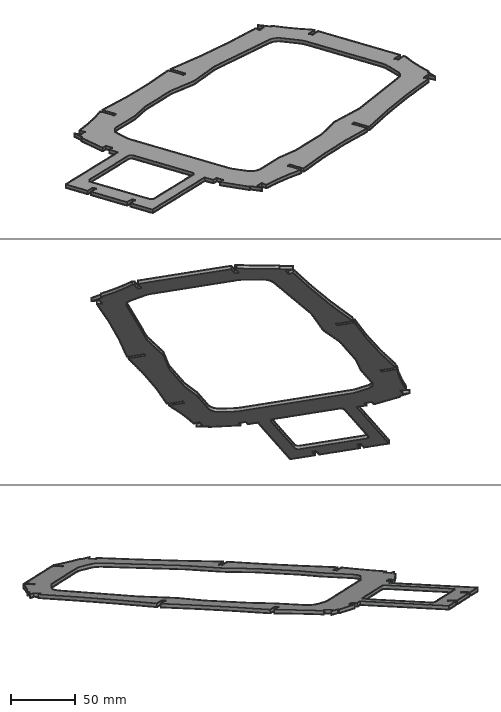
import cadquery as cq

thickness = 3.0
length = 340.0
half_length = length / 2
half_width = 94.0
slot_width = 3.0

top_half_width = 43.0
top_slope_middle = (58.0, 163.0)
top_slope_end = (73.3, 157.8)
top_step_y = 156.3
top_tip = (82.9, 152.9)
top_notch_x = 76.6
top_notch_upper_y = 152.0
top_notch_lower_y = 146.1
shoulder = (80.8, 147.0)

waist_crest = 0.15
upper_flank_middle = (84.6, 102.0)
waist_upper = (93.1, 47.1)
waist_middle = (91.6, 2.0)
waist_lower = (half_width + waist_crest, -44.0)
lower_flank_middle = (89.8, -63.0)
lower_flank_end = (87.3, -83.3)

bottom_notch_x = 82.4
bottom_notch_upper_y = -82.6
bottom_notch_lower_y = -88.8
bottom_tip = (87.6, -89.6)
bottom_tip_root = (78.6, -92.0)
bottom_step_y = -93.3
frame_bottom_y = -99.0
bottom_slope_end = (55.0, frame_bottom_y)

tab_half_width = 40.6
window_half_width = 30.2
window_top_y = -97.1
window_bottom_y = -155.2
window_fillet = 3.0

opening_top_y = 149.3
opening_bottom_y = -74.2
opening_upper_corner = (59.7, 141.5)
opening_lower_corner = (67.3, -68.6)
opening_corner_fillet = 9.5
opening_blend_fillet = 18.0
opening_top_half_width = 38.0
opening_bottom_half_width = 48.0
opening_neck = (67.6, 72.0)
opening_bulge = (65.5, 41.0)
opening_wide_top = (70.2, 17.0)
opening_wide_bottom = (70.2, -18.0)
opening_lower_neck = (67.1, -37.0)

selection_reach = 0.1

top_slot_x = 39.9
top_slot_depth = 8.0
waist_upper_slot_floor_x = 78.9
waist_lower_slot_floor_x = 81.2
shelf_slot_x = 51.7
shelf_slot_width = 6.0
shelf_slot_depth = 4.4
tab_slot_x = 18.4
tab_slot_depth = 6.9


def mirrored(half):
    """Join a half body lying on the +X side with its mirror image."""
    return half.union(half.mirror("YZ"))


def outer_plate():
    half = (
        cq.Workplane("XY")
        .moveTo(0, half_length)
        .lineTo(top_half_width, half_length)
        .threePointArc(top_slope_middle, top_slope_end)
        .lineTo(top_slope_end[0], top_step_y)
        .lineTo(*top_tip)
        .lineTo(top_notch_x, top_notch_upper_y)
        .lineTo(top_notch_x, top_notch_lower_y)
        .lineTo(*shoulder)
        .threePointArc(upper_flank_middle, waist_upper)
        .threePointArc(waist_middle, waist_lower)
        .threePointArc(lower_flank_middle, lower_flank_end)
        .lineTo(bottom_notch_x, bottom_notch_upper_y)
        .lineTo(bottom_notch_x, bottom_notch_lower_y)
        .lineTo(*bottom_tip)
        .lineTo(*bottom_tip_root)
        .lineTo(bottom_tip_root[0], bottom_step_y)
        .lineTo(*bottom_slope_end)
        .lineTo(tab_half_width, frame_bottom_y)
        .lineTo(tab_half_width, -half_length)
        .lineTo(0, -half_length)
        .close()
        .extrude(thickness)
    )
    return mirrored(half)


def round_corner_pair(body, point, radius):
    """Fillet the upright edge at a point of the outline and its mirror image."""
    x, y = point
    for side in (x, -x):
        low = (side - selection_reach, y - selection_reach, 0)
        high = (side + selection_reach, y + selection_reach, thickness)
        body = body.edges(cq.selectors.BoxSelector(low, high)).fillet(radius)
    return body


def large_opening():
    right_side = [
        (opening_top_half_width, opening_top_y),
        opening_upper_corner,
        opening_neck,
        opening_bulge,
        opening_wide_top,
        opening_wide_bottom,
        opening_lower_neck,
        opening_lower_corner,
        (opening_bottom_half_width, opening_bottom_y),
    ]
    left_side = [(-x, y) for x, y in reversed(right_side)]
    body = cq.Workplane("XY").polyline(right_side + left_side).close().extrude(thickness)
    sharp_corners = (opening_upper_corner, opening_lower_corner)
    for point in right_side:
        radius = opening_corner_fillet if point in sharp_corners else opening_blend_fillet
        body = round_corner_pair(body, point, radius)
    return body


def tab_window():
    height = window_top_y - window_bottom_y
    return (
        cq.Workplane("XY")
        .center(0, (window_top_y + window_bottom_y) / 2)
        .rect(2 * window_half_width, height)
        .extrude(thickness)
        .edges("|Z")
        .fillet(window_fillet)
    )


def slot_pair(x_low, x_high, y_low, y_high):
    """Rectangular slot and its mirror image."""
    half = (
        cq.Workplane("XY")
        .center((x_low + x_high) / 2, (y_low + y_high) / 2)
        .rect(x_high - x_low, y_high - y_low)
        .extrude(thickness)
    )
    return mirrored(half)


def edge_slots(x, width, y_low, y_high):
    return slot_pair(x - width / 2, x + width / 2, y_low, y_high)


def flank_slots(floor_x, y):
    return slot_pair(floor_x, half_width + waist_crest, y - slot_width / 2, y + slot_width / 2)


result = (
    outer_plate()
    .cut(large_opening())
    .cut(tab_window())
    .cut(edge_slots(top_slot_x, slot_width, half_length - top_slot_depth, half_length))
    .cut(edge_slots(shelf_slot_x, shelf_slot_width, frame_bottom_y, frame_bottom_y + shelf_slot_depth))
    .cut(edge_slots(tab_slot_x, slot_width, -half_length, -half_length + tab_slot_depth))
    .cut(flank_slots(waist_upper_slot_floor_x, waist_upper[1]))
    .cut(flank_slots(waist_lower_slot_floor_x, waist_lower[1]))
)